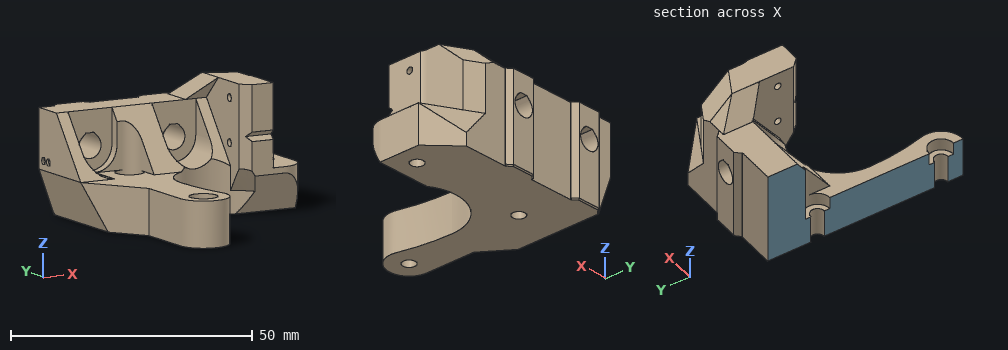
import cadquery as cq
import math


plate_height = 10.0
plate_length = 51.0
motor_x, motor_y = 30.0, -28.0
bore_radius = 12.0
boss_radius = 5.5
arm_shoulder_y = -30.3
plate_corner_cut = 7.0
side_taper = math.radians(20)
undercut_angle = math.radians(30)
undercut_start_y = -18.0

screw_pitch = 31.0
screw_left_x = motor_x - screw_pitch / 2
screw_right_x = motor_x + screw_pitch / 2
screw_back_y = motor_y + screw_pitch / 2
screw_front_y = motor_y - screw_pitch / 2
screw_positions = [
    (screw_left_x, screw_back_y),
    (screw_right_x, screw_back_y),
    (screw_left_x, screw_front_y),
]
screw_diameter = 3.3
head_diameter = 6.0
head_radius = head_diameter / 2
head_depth = 3.0
clearance_left = 8.0

block_top = 23.0
block_top_depth = 7.4
block_bottom_depth = 17.6

bolt_positions_x = [8.0, 28.0]
bolt_z = 15.3
bolt_radius = 2.65
bolt_roof = 2.8
pocket_radius = 5.25
pad_width = 8.5
pad_thickness = 1.4
pad_chamfer = 1.2
pad_bottom_chamfer = 0.3
pad_root = 1.0

flange_left = 35.8
flange_right = 42.9
flange_front = -23.0
flange_top = 28.0
flange_chamfer = 2.0
relief_start_z = 5.0
relief_angle = math.radians(30)
notch_z = 17.0
notch_depth = 1.0
flange_hole_diameter = 1.6
flange_hole_y = -17.0
flange_hole_heights = [15.0, 24.5]

bevel_depth = 5.5
foot_bevel_start_x = 38.2
foot_bevel_low_z = 3.2

dimple_diameter = 1.5
dimple_depth = 0.5
dimple_z = 12.0
dimple_positions_y = [-2.0, -4.0]

reach = 60.0


def box(x0, x1, y0, y1, z0, z1):
    return cq.Workplane("XY").box(x1 - x0, y1 - y0, z1 - z0, centered=False).translate((x0, y0, z0))


def space_behind(a, b, c):
    """Thick slab on the +Y side of the plane through the points a, b and c."""
    a, b, c = cq.Vector(*a), cq.Vector(*b), cq.Vector(*c)
    normal = (b - a).cross(c - a)
    if normal.y < 0:
        normal = -normal
    plane = cq.Plane(origin=a, xDir=b - a, normal=normal)
    return cq.Workplane(plane).rect(2 * reach, 2 * reach).extrude(reach)


def make_plate():
    bore_left = motor_x - bore_radius
    boss_left = screw_left_x - boss_radius
    bore_end_y = motor_y + math.sqrt(bore_radius ** 2 - (flange_left - motor_x) ** 2)

    boss_to_bore = bore_left - screw_left_x
    boss_drop = motor_y - screw_front_y
    arm_radius = (boss_to_bore ** 2 + boss_drop ** 2 - boss_radius ** 2) / (2 * (boss_radius - boss_to_bore))
    touch_angle = math.atan2(boss_drop, boss_to_bore + arm_radius)
    touch_point = (
        screw_left_x + boss_radius * math.cos(touch_angle),
        screw_front_y + boss_radius * math.sin(touch_angle),
    )

    foot_corner_y = flange_front + boss_radius
    diagonal = boss_radius * math.sqrt(0.5)
    plate = (
        cq.Workplane("XY")
        .moveTo(0, 0)
        .lineTo(plate_length - plate_corner_cut, 0)
        .lineTo(plate_length, -plate_corner_cut)
        .lineTo(plate_length, foot_corner_y)
        .threePointArc((screw_right_x + diagonal, foot_corner_y - diagonal), (screw_right_x, flange_front))
        .lineTo(flange_left + flange_chamfer, flange_front)
        .lineTo(flange_left, flange_front + flange_chamfer)
        .lineTo(flange_left, bore_end_y)
        .threePointArc((motor_x, motor_y + bore_radius), (bore_left, motor_y))
        .tangentArcPoint(touch_point, relative=False)
        .threePointArc((screw_left_x, screw_front_y - boss_radius), (boss_left, screw_front_y))
        .lineTo(boss_left, arm_shoulder_y)
        .lineTo(0, -block_bottom_depth)
        .close()
        .extrude(plate_height)
    )
    taper = (
        cq.Workplane("XZ")
        .polyline([(0, 0), (plate_height * math.tan(side_taper), 0), (0, plate_height)])
        .close()
        .extrude(reach)
    )
    return plate.cut(taper)


def make_block():
    block = (
        cq.Workplane("YZ")
        .polyline([
            (0, plate_height),
            (0, block_top),
            (-block_top_depth, block_top),
            (-block_bottom_depth, plate_height),
        ])
        .close()
        .extrude(flange_left)
    )
    bore = cq.Workplane("XY").center(motor_x, motor_y).circle(bore_radius).extrude(reach)
    block = block.cut(bore)
    for x in bolt_positions_x:
        block = block.cut(pocket(x))
    return block


def pocket(x):
    """U-shaped pocket that runs forward from the plane of the block's top front edge."""
    return (
        cq.Workplane("XZ")
        .workplane(offset=block_top_depth)
        .moveTo(x - pocket_radius, reach)
        .lineTo(x - pocket_radius, bolt_z)
        .threePointArc((x, bolt_z - pocket_radius), (x + pocket_radius, bolt_z))
        .lineTo(x + pocket_radius, reach)
        .close()
        .extrude(reach)
    )


def make_ramp():
    """45 degree ramp from the block top up to the flange top, overhanging at its front."""
    rise = flange_top - block_top
    side_shape = (
        cq.Workplane("YZ")
        .polyline([
            (0, block_top),
            (0, flange_top),
            (-block_top_depth - rise, flange_top),
            (-block_top_depth, block_top),
        ])
        .close()
        .extrude(flange_left)
    )
    front_shape = (
        cq.Workplane("XZ")
        .polyline([(flange_left - rise, block_top), (flange_left, block_top), (flange_left, flange_top)])
        .close()
        .extrude(reach)
    )
    return side_shape.intersect(front_shape)


def make_flange():
    flange = (
        cq.Workplane("XY")
        .workplane(offset=plate_height)
        .polyline([
            (flange_left, 0),
            (flange_right, 0),
            (flange_right, flange_front),
            (flange_left + flange_chamfer, flange_front),
            (flange_left, flange_front + flange_chamfer),
        ])
        .close()
        .extrude(flange_top - plate_height)
    )
    notch = (
        cq.Workplane("YZ")
        .polyline([
            (flange_front, notch_z - notch_depth),
            (flange_front + notch_depth, notch_z),
            (flange_front, notch_z + notch_depth),
        ])
        .close()
        .extrude(reach)
    )
    holes = (
        cq.Workplane("YZ")
        .pushPoints([(flange_hole_y, z) for z in flange_hole_heights])
        .circle(flange_hole_diameter / 2)
        .extrude(reach)
    )
    return flange.cut(notch).cut(holes)


def motor_relief():
    """Motor bore below the flange, closing upwards as a cone so that the flange overhangs it."""
    cone_height = bore_radius / math.tan(relief_angle)
    bore = cq.Workplane("XY").circle(bore_radius).extrude(relief_start_z)
    cone = cq.Workplane(cq.Solid.makeCone(bore_radius, 0, cone_height)).translate((0, 0, relief_start_z))
    relief = bore.union(cone).translate((motor_x, motor_y, 0))
    return relief.intersect(box(flange_left, reach, -reach, 0, 0, reach))


def foot_undercut():
    run = plate_height * math.tan(undercut_angle)
    return (
        cq.Workplane("YZ")
        .workplane(offset=flange_left)
        .polyline([
            (undercut_start_y, 0),
            (undercut_start_y - run, plate_height),
            (undercut_start_y - run, 0),
        ])
        .close()
        .extrude(reach)
    )


def back_bevels():
    skew = plate_corner_cut / (plate_length - foot_bevel_start_x)
    bevel_low = (flange_left, 0, block_top)
    bevel_high = (flange_left, -bevel_depth, flange_top)
    skewed_y = -skew * (flange_right - flange_left)
    ramp_bevel = space_behind(bevel_low, bevel_high, (0, 0, block_top))
    flange_bevel = space_behind(bevel_low, bevel_high, (flange_right, skewed_y, block_top))

    wall_start = (foot_bevel_start_x, 0, plate_height)
    wall_end = (plate_length, -plate_corner_cut, plate_height)
    wall = space_behind(wall_start, wall_end, (foot_bevel_start_x, 0, flange_top))
    above_plate = box(-reach, reach, -reach, reach, plate_height, reach)
    upper = ramp_bevel.union(flange_bevel).union(wall).intersect(above_plate)

    foot_low = (plate_length - plate_corner_cut, 0, foot_bevel_low_z)
    in_plate = box(-reach, reach, -reach, reach, 0, plate_height)
    lower = space_behind(wall_start, wall_end, foot_low).intersect(in_plate)
    return upper.union(lower)


def head_clearances():
    """Counterbores carried up through the part, widened to boxes above the plate."""
    counterbores = (
        cq.Workplane("XY")
        .workplane(offset=plate_height - head_depth)
        .pushPoints(screw_positions)
        .circle(head_radius)
        .extrude(reach)
    )
    head_back = screw_back_y + head_radius
    head_right = screw_left_x + head_radius
    left_deep = box(clearance_left, screw_left_x, -reach, head_back, plate_height, reach)
    left_wide = box(clearance_left, head_right, -reach, screw_back_y, plate_height, reach)
    right = box(screw_right_x - head_radius, reach, screw_back_y, reach, plate_height, reach)
    return counterbores.union(left_deep).union(left_wide).union(right)


def screw_holes():
    return cq.Workplane("XY").pushPoints(screw_positions).circle(screw_diameter / 2).extrude(reach)


def dimples():
    return (
        cq.Workplane("YZ")
        .pushPoints([(y, dimple_z) for y in dimple_positions_y])
        .circle(dimple_diameter / 2)
        .extrude(dimple_depth)
    )


def pad(x):
    """Raised strip on the back face, rooted a little way into the body."""
    half = pad_width / 2
    shoulder_y = pad_thickness - pad_chamfer
    return (
        cq.Workplane("XY")
        .polyline([
            (x - half, -pad_root),
            (x - half, shoulder_y),
            (x - half + pad_chamfer, pad_thickness),
            (x + half - pad_chamfer, pad_thickness),
            (x + half, shoulder_y),
            (x + half, -pad_root),
        ])
        .close()
        .extrude(block_top)
        .faces("<Z")
        .edges()
        .chamfer(pad_bottom_chamfer)
    )


def bolt_hole(x):
    """Round hole whose top is a truncated 45 degree teardrop."""
    tangent = bolt_radius * math.sqrt(0.5)
    roof_half = bolt_radius * math.sqrt(2) - bolt_roof
    return (
        cq.Workplane("XZ")
        .workplane(offset=-pad_thickness)
        .moveTo(x - tangent, bolt_z + tangent)
        .lineTo(x - roof_half, bolt_z + bolt_roof)
        .lineTo(x + roof_half, bolt_z + bolt_roof)
        .lineTo(x + tangent, bolt_z + tangent)
        .threePointArc((x, bolt_z - bolt_radius), (x - tangent, bolt_z + tangent))
        .close()
        .extrude(reach)
    )


body = make_plate().union(make_block()).union(make_ramp()).union(make_flange())
for cutter in [motor_relief(), foot_undercut(), back_bevels(), head_clearances(), screw_holes(), dimples()]:
    body = body.cut(cutter)
for bolt_x in bolt_positions_x:
    body = body.union(pad(bolt_x)).cut(bolt_hole(bolt_x))

result = body